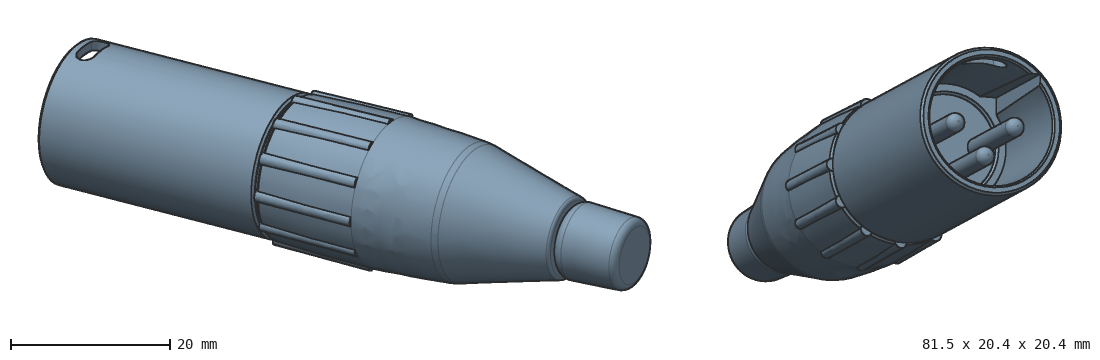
import cadquery as cq
import math


OVERALL_LENGTH = 81.5
SHELL_LENGTH = 31.5
SLEEVE_START = 31.9
RIB_END = 45.95
SHOULDER_X = 57.7
SLEEVE_END = 72.2

SHELL_DIAMETER = 19.0
BORE_MOUTH_DIAMETER = 16.5
BORE_FLOOR_DIAMETER = 15.65
BORE_DEPTH = 15.5
SHELL_EDGE_CHAMFER = 0.3
MOUTH_CHAMFER = 0.25
SHELL_NECK_DIAMETER = 17.9
KEYWAY_CORNER = 6.5
KEYWAY_WIDTH = 2.45
LATCH_SLOT_X = 2.5
LATCH_SLOT_WIDTH = 2.45
LATCH_SLOT_LENGTH = 5.8

INSERT_DIAMETER = 13.0
INSERT_SEAT_CHAMFER = 0.3

PIN_DIAMETER = 2.45
PIN_CIRCLE_RADIUS = 4.0
PIN_TIP_X = 1.3
PIN_TIP_FILLET = 1.18
PIN_ANGLES = (0, 180, 270)

SLEEVE_FRONT_RADIUS = 9.5
SLEEVE_GRIP_RADIUS = 9.85
SLEEVE_SHOULDER_RADIUS = 9.1
SLEEVE_END_RADIUS = 5.4
SLEEVE_BULGE = 0.1
SLEEVE_FRONT_CHAMFER = 0.3
SHOULDER_FILLET = 5.7
SLEEVE_END_FILLET = 0.5
RIB_COUNT = 12
RIB_RADIUS = 0.8
RIB_FRONT_TOP = 10.0
RIB_BACK_TOP = 10.2

GLAND_HEAD_RADIUS = 5.1
GLAND_TIP_RADIUS = 4.7
GLAND_HEAD_FILLET = 1.5
GLAND_TIP_FILLET = 1.0


def rod(diameter, start, end):
    """Solid cylinder on the X axis."""
    return cq.Workplane("YZ", origin=(start, 0, 0)).circle(diameter / 2).extrude(end - start)


def revolve_about_x(profile):
    return profile.close().revolve(360, (0, 0, 0), (1, 0, 0))


def make_bore():
    """Tapered bore with a chamfered mouth, down to the seat of the insert."""
    mouth = BORE_MOUTH_DIAMETER / 2
    return revolve_about_x(
        cq.Workplane("XZ")
        .lineTo(0, mouth + MOUTH_CHAMFER)
        .lineTo(MOUTH_CHAMFER, mouth)
        .lineTo(BORE_DEPTH, BORE_FLOOR_DIAMETER / 2)
        .lineTo(BORE_DEPTH, INSERT_DIAMETER / 2 + INSERT_SEAT_CHAMFER)
        .lineTo(BORE_DEPTH + INSERT_SEAT_CHAMFER, INSERT_DIAMETER / 2)
        .lineTo(BORE_DEPTH + INSERT_SEAT_CHAMFER, 0)
    )


def make_shell():
    body = rod(SHELL_DIAMETER, 0, SHELL_LENGTH).edges().chamfer(SHELL_EDGE_CHAMFER)
    neck = rod(SHELL_NECK_DIAMETER, SHELL_LENGTH - SHELL_EDGE_CHAMFER, SLEEVE_START)
    keyway_middle = KEYWAY_CORNER - KEYWAY_WIDTH / 2
    keyway = (
        cq.Workplane("YZ")
        .center(-keyway_middle, keyway_middle)
        .rect(KEYWAY_WIDTH, KEYWAY_WIDTH)
        .extrude(BORE_DEPTH)
    )
    latch_slot = (
        cq.Workplane("XY")
        .center(LATCH_SLOT_X, 0)
        .slot2D(LATCH_SLOT_LENGTH, LATCH_SLOT_WIDTH, 90)
        .extrude(SHELL_DIAMETER)
    )
    insert_hole = rod(INSERT_DIAMETER, BORE_DEPTH, SLEEVE_START)
    return body.union(neck).cut(make_bore()).cut(keyway).cut(latch_slot).cut(insert_hole)


def make_insert(pins):
    insert = rod(INSERT_DIAMETER, BORE_DEPTH + INSERT_SEAT_CHAMFER, SLEEVE_START)
    for pin in pins:
        insert = insert.cut(pin)
    return insert


def make_pin(angle):
    y = PIN_CIRCLE_RADIUS * math.cos(math.radians(angle))
    z = PIN_CIRCLE_RADIUS * math.sin(math.radians(angle))
    pin = rod(PIN_DIAMETER, PIN_TIP_X, SLEEVE_START)
    return pin.faces("<X").edges().fillet(PIN_TIP_FILLET).translate((0, y, z))


def make_rib():
    """Round rib at the top of the sleeve, rising slightly from front to back."""
    front = cq.Plane((SLEEVE_START, 0, RIB_FRONT_TOP - RIB_RADIUS), (0, 0, -1), (1, 0, 0))
    return (
        cq.Workplane(front)
        .circle(RIB_RADIUS)
        .workplane(offset=RIB_END - SLEEVE_START)
        .center(RIB_FRONT_TOP - RIB_BACK_TOP, 0)
        .circle(RIB_RADIUS)
        .loft(ruled=True)
    )


def make_sleeve():
    grip_middle = (SLEEVE_START + RIB_END) / 2
    grip_middle_radius = (SLEEVE_FRONT_RADIUS + SLEEVE_GRIP_RADIUS) / 2 + SLEEVE_BULGE
    barrel_middle = (RIB_END + SHOULDER_X) / 2
    barrel_middle_radius = (SLEEVE_GRIP_RADIUS + SLEEVE_SHOULDER_RADIUS) / 2 + SLEEVE_BULGE
    sleeve = revolve_about_x(
        cq.Workplane("XZ")
        .moveTo(SLEEVE_START, 0)
        .lineTo(SLEEVE_START, SLEEVE_FRONT_RADIUS)
        .threePointArc((grip_middle, grip_middle_radius), (RIB_END, SLEEVE_GRIP_RADIUS))
        .threePointArc((barrel_middle, barrel_middle_radius), (SHOULDER_X, SLEEVE_SHOULDER_RADIUS))
        .lineTo(SLEEVE_END, SLEEVE_END_RADIUS)
        .lineTo(SLEEVE_END, 0)
    )
    shoulder = cq.selectors.NearestToPointSelector((SHOULDER_X, 0, 0))
    sleeve = sleeve.edges(shoulder).fillet(SHOULDER_FILLET)
    sleeve = sleeve.faces(">X").edges().fillet(SLEEVE_END_FILLET)
    sleeve = sleeve.faces("<X").edges().chamfer(SLEEVE_FRONT_CHAMFER)
    rib = make_rib()
    for index in range(RIB_COUNT):
        sleeve = sleeve.union(rib.rotate((0, 0, 0), (1, 0, 0), index * 360 / RIB_COUNT))
    return sleeve


def make_gland():
    gland = revolve_about_x(
        cq.Workplane("XZ")
        .moveTo(SLEEVE_END, 0)
        .lineTo(SLEEVE_END, GLAND_HEAD_RADIUS)
        .lineTo(OVERALL_LENGTH, GLAND_TIP_RADIUS)
        .lineTo(OVERALL_LENGTH, 0)
    )
    gland = gland.faces("<X").edges().fillet(GLAND_HEAD_FILLET)
    return gland.faces(">X").edges().fillet(GLAND_TIP_FILLET)


pins = [make_pin(angle) for angle in PIN_ANGLES]
shell = make_shell()
insert = make_insert(pins)
sleeve = make_sleeve()
gland = make_gland()

result = cq.Compound.makeCompound(
    [shell.val(), insert.val(), sleeve.val(), gland.val(), *[pin.val() for pin in pins]]
)